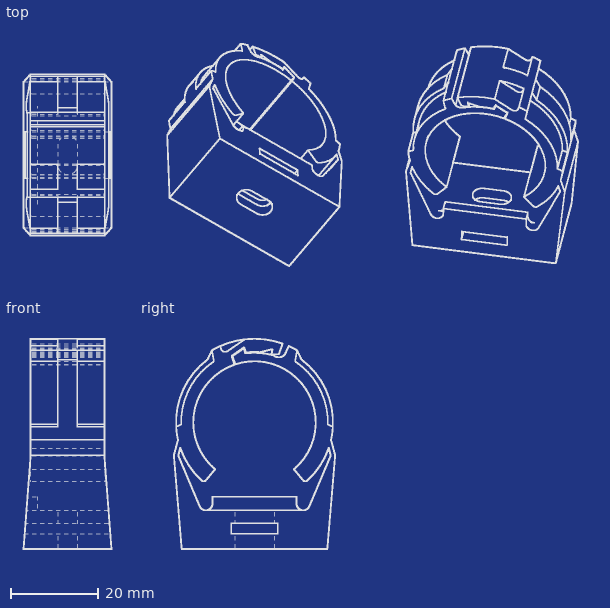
import math

import cadquery as cq


axis_z = 29.0
bore_r = 14.0
collar_r = 18.0
recess_r = 16.8
crown_r = 19.2
collar_width = 17.0
rib_width = 4.5
collar_end_angle = -50.0
tip_fillet = 0.7

lug_end_y = 9.75
lug_foot_y = 9.3
rib_shoulder_y = 10.8
recess_bottom_inner_z = 28.55
recess_bottom_outer_z = 28.0

tongue_r = 16.0
latch_gap = 0.12
tooth_clearance = 0.04
groove_lug_y = 7.85
groove_flank_end = (6.9, 44.55)
groove_bottom = (5.6, 43.95)
groove_tongue_y = 4.4
latch_end_angle = 70.3
latch_end_r = 16.6
tooth_tip_y = 3.85
tooth_root = (4.1, 45.78)
underside_start_y = 1.3
hook_root_y = -2.1
hook_top = (-2.4, 46.05)
hook_corner = (-5.1, 44.2)
hook_bore_y = -4.4

pocket_start_y = -2.2
pocket_floor_z = 45.17
pocket_slope_end = (-6.15, 45.35)
pocket_floor_mid_y = -6.9
pocket_floor_end = (-7.65, 45.85)
pocket_end_y = -7.85

base_length = 20.2
base_half_y = 16.7
shoulder_half_y = 18.5
shoulder_z = 21.5
taper_top_z = 21.0
waist_z = 25.0
slit_tip_z = 23.1
leg_overlap = 1.0
slit_knee = (17.43, 21.4)
wall_half_y = 9.65
wall_top_z = 12.0
wall_inner_x = -6.9
groove_r = 1.5
base_groove_z = 10.4

strap_width = 10.6
strap_bottom_z = 3.55
strap_height = 2.35
screw_slot_length = 9.0
screw_slot_width = 4.5

margin = 5.0


def on_circle(radius, y):
    """Point of the upper half of a circle about the pipe axis, at a given Y."""
    return (y, axis_z + math.sqrt(radius**2 - y**2))


def on_circle_at_z(radius, z):
    """Point of the +Y half of a circle about the pipe axis, at a given Z."""
    return (math.sqrt(radius**2 - (z - axis_z) ** 2), z)


def polar(radius, angle):
    """Point about the pipe axis, with the angle in degrees from +Y towards +Z."""
    turn = math.radians(angle)
    return (radius * math.cos(turn), axis_z + radius * math.sin(turn))


def between(radius, start, end):
    """Middle point of the arc about the pipe axis from start to end."""
    start_angle = math.degrees(math.atan2(start[1] - axis_z, start[0]))
    end_angle = math.degrees(math.atan2(end[1] - axis_z, end[0]))
    return polar(radius, (start_angle + end_angle) / 2)


def mirrored(point):
    return (-point[0], point[1])


def profile():
    return cq.Workplane("YZ")


def make_collar():
    """C-shaped ring, open at the bottom, with rounded outer tips."""
    inner_tip = polar(bore_r, collar_end_angle)
    outer_tip = polar(collar_r, collar_end_angle)
    return (
        profile()
        .moveTo(*inner_tip)
        .lineTo(*outer_tip)
        .threePointArc((0, axis_z + collar_r), mirrored(outer_tip))
        .lineTo(*mirrored(inner_tip))
        .threePointArc((0, axis_z + bore_r), inner_tip)
        .close()
        .extrude(collar_width / 2, both=True)
        .edges("|X")
        .edges("<Z")
        .fillet(tip_fillet)
    )


def make_crown():
    """Thicker top sector from which the lugs and the latch are cut."""
    lug_end = on_circle(crown_r, lug_end_y)
    shoulder = on_circle(collar_r, rib_shoulder_y)
    root = on_circle(recess_r, lug_foot_y)
    return (
        profile()
        .moveTo(*root)
        .lineTo(*shoulder)
        .lineTo(*lug_end)
        .threePointArc((0, axis_z + crown_r), mirrored(lug_end))
        .lineTo(*mirrored(shoulder))
        .lineTo(*mirrored(root))
        .threePointArc((0, axis_z + recess_r), root)
        .close()
        .extrude(collar_width / 2, both=True)
    )


def beside_rib(section):
    """Extrude a closed section over both sides of the central rib."""
    full = section.extrude(collar_width / 2 + margin, both=True)
    rib = cq.Workplane().box(rib_width, 4 * collar_r, 4 * collar_r).translate((0, 0, axis_z))
    return full.cut(rib)


def make_recesses():
    """Shallow recesses that leave the central rib standing on the +Y and -Y flanks."""
    bottom_inner = on_circle_at_z(recess_r, recess_bottom_inner_z)
    bottom_outer = on_circle_at_z(collar_r, recess_bottom_outer_z)
    lug_foot = on_circle(recess_r, lug_foot_y)
    lug_end = on_circle(crown_r, lug_end_y)
    section = (
        profile()
        .moveTo(*bottom_inner)
        .lineTo(*bottom_outer)
        .lineTo(collar_r + margin, recess_bottom_outer_z)
        .lineTo(collar_r + margin, lug_end[1])
        .lineTo(*lug_end)
        .lineTo(*lug_foot)
        .threePointArc(between(recess_r, lug_foot, bottom_inner), bottom_inner)
        .close()
    )
    plus_y = beside_rib(section)
    return plus_y.union(plus_y.mirror("XZ"))


def make_latch_gap():
    """Groove behind the latch end and the thin gap around the hooked tongue."""
    lug_corner = on_circle(crown_r, groove_lug_y)
    tongue_start = on_circle(tongue_r, groove_tongue_y)
    tongue_end = on_circle(tongue_r, hook_root_y)
    hook_bore = on_circle(bore_r, hook_bore_y)
    underside_r = tongue_r + latch_gap
    underside_start = on_circle(underside_r, underside_start_y)
    underside_end = on_circle(underside_r, hook_root_y + latch_gap)
    tooth_tip = on_circle(tongue_r + tooth_clearance, tooth_tip_y)
    latch_end = polar(latch_end_r, latch_end_angle)
    latch_top = polar(crown_r + margin, latch_end_angle)
    return (
        profile()
        .moveTo(*lug_corner)
        .lineTo(*groove_flank_end)
        .threePointArc(groove_bottom, tongue_start)
        .threePointArc(between(tongue_r, tongue_start, tongue_end), tongue_end)
        .lineTo(*hook_top)
        .lineTo(*hook_corner)
        .lineTo(*hook_bore)
        .lineTo(hook_bore[0], hook_bore[1] - latch_gap)
        .lineTo(hook_bore[0] - latch_gap, hook_bore[1] - latch_gap)
        .lineTo(hook_corner[0] - latch_gap, hook_corner[1])
        .lineTo(hook_top[0], hook_top[1] + latch_gap)
        .lineTo(*underside_end)
        .threePointArc(between(underside_r, underside_end, underside_start), underside_start)
        .lineTo(*tooth_root)
        .lineTo(*tooth_tip)
        .lineTo(*latch_end)
        .lineTo(*latch_top)
        .close()
        .extrude(collar_width, both=True)
    )


def make_latch_pockets():
    """Ramped pockets in the top of the latch, beside the rib."""
    start = on_circle(crown_r, pocket_start_y)
    end = on_circle(crown_r, pocket_end_y)
    section = (
        profile()
        .moveTo(*start)
        .lineTo(*pocket_slope_end)
        .threePointArc((pocket_floor_mid_y, pocket_floor_z), pocket_floor_end)
        .lineTo(*end)
        .lineTo(end[0], start[1] + margin)
        .lineTo(start[0], start[1] + margin)
        .close()
    )
    return beside_rib(section)


def groove_tangent_point():
    """Point where the inner leg face runs tangentially into the base groove."""
    centre = (wall_half_y + groove_r, base_groove_z)
    dy = slit_knee[0] - centre[0]
    dz = slit_knee[1] - centre[1]
    turn = math.atan2(dz, dy) - math.acos(groove_r / math.hypot(dy, dz))
    return (centre[0] + groove_r * math.cos(turn), centre[1] + groove_r * math.sin(turn))


def make_base_half():
    """Half of the base: the block, one groove and the leg that carries the collar."""
    waist = on_circle_at_z(collar_r, waist_z)
    slit_tip = on_circle_at_z(collar_r, slit_tip_z)
    leg_root = on_circle_at_z(collar_r - leg_overlap, (waist_z + slit_tip_z) / 2)
    groove_centre_y = wall_half_y + groove_r
    return (
        profile()
        .lineTo(base_half_y, 0)
        .lineTo(shoulder_half_y, shoulder_z)
        .lineTo(*waist)
        .lineTo(*leg_root)
        .lineTo(*slit_tip)
        .lineTo(*slit_knee)
        .lineTo(*groove_tangent_point())
        .threePointArc((groove_centre_y, base_groove_z - groove_r), (wall_half_y, base_groove_z))
        .lineTo(wall_half_y, wall_top_z)
        .lineTo(0, wall_top_z)
        .close()
        .extrude(base_length / 2, both=True)
    )


def make_base():
    """Base narrowing along X towards the collar, with an end wall on the -X side only."""
    half = make_base_half()
    base = half.union(half.mirror("XZ"))
    taper = (
        cq.Workplane("XZ")
        .moveTo(-base_length / 2, 0)
        .lineTo(base_length / 2, 0)
        .lineTo(collar_width / 2, taper_top_z)
        .lineTo(collar_width / 2, axis_z)
        .lineTo(-collar_width / 2, axis_z)
        .lineTo(-collar_width / 2, taper_top_z)
        .close()
        .extrude(2 * shoulder_half_y, both=True)
    )
    floor_z = base_groove_z - groove_r
    tray = cq.Workplane().box(
        base_length, 2 * (wall_half_y + groove_r), wall_top_z - floor_z, centered=(False, True, False)
    )
    return base.intersect(taper).cut(tray.translate((wall_inner_x, 0, floor_z)))


def make_base_openings():
    """Strap slot through the base along X and an upright screw slot through the floor."""
    strap_slot = (
        cq.Workplane()
        .box(2 * base_length, strap_width, strap_height, centered=(True, True, False))
        .translate((0, 0, strap_bottom_z))
    )
    screw_slot = cq.Workplane().slot2D(screw_slot_length, screw_slot_width, 90).extrude(wall_top_z)
    return strap_slot.union(screw_slot)


collar = make_collar().union(make_crown())
collar = collar.cut(make_recesses()).cut(make_latch_gap()).cut(make_latch_pockets())
base = make_base().cut(make_base_openings())
result = base.union(collar)